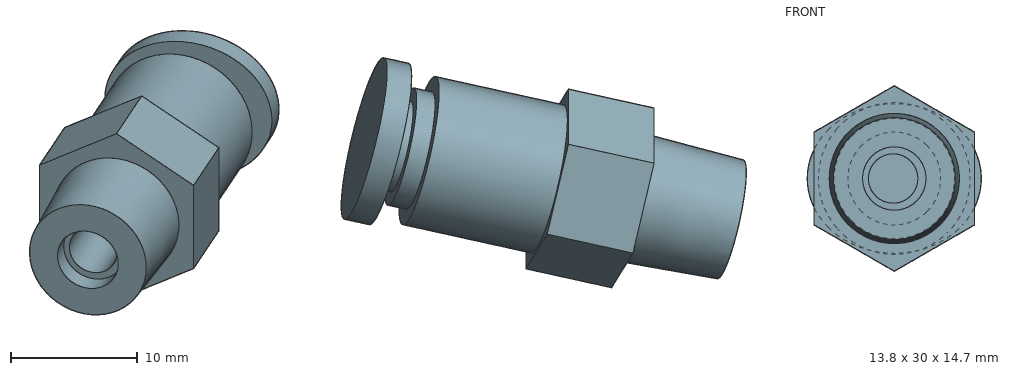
import cadquery as cq

total_length = 30.0
ring_thickness = 2.0
neck_length = 1.0
collar_length = 1.5
body_length = 10.5
hex_length = 7.02
shank_length = 0.18
thread_length = (
    total_length - ring_thickness - neck_length - collar_length - body_length
    - hex_length - shank_length
)

ring_width = 13.77
ring_height = 11.82
neck_diameter = 7.35
collar_diameter = 9.5
body_diameter = 12.0
hex_across_corners = 14.67
thread_root_diameter = 10.3
thread_tip_diameter = 9.63

bore_diameter = 5.0
bore_depth = 1.75
inner_bore_diameter = 3.9
inner_bore_offset = 0.1
inner_bore_depth = 6.0

shank_start = thread_length
hex_start = shank_start + shank_length
body_start = hex_start + hex_length
collar_start = body_start + body_length
neck_start = collar_start + collar_length
ring_start = neck_start + neck_length


def section_at(y):
    """Sketch plane at station y, with its normal toward +Y and its local x along -X."""
    return cq.Workplane("XZ", origin=(0, y, 0)).transformed(rotate=(0, 180, 0))


def cylinder(y, diameter, length):
    return section_at(y).circle(diameter / 2).extrude(length)


def tapered_thread():
    tip = cq.Vector(0, 0, 0)
    toward_hex = cq.Vector(0, 1, 0)
    cone = cq.Solid.makeCone(
        thread_tip_diameter / 2, thread_root_diameter / 2, thread_length, tip, toward_hex
    )
    return cq.Workplane(obj=cone)


def hexagon():
    return (
        section_at(hex_start)
        .transformed(rotate=(0, 0, 90))
        .polygon(6, hex_across_corners)
        .extrude(hex_length)
    )


def release_ring():
    return section_at(ring_start).ellipse(ring_width / 2, ring_height / 2).extrude(ring_thickness)


outside = (
    tapered_thread()
    .union(cylinder(shank_start, thread_root_diameter, shank_length))
    .union(hexagon())
    .union(cylinder(body_start, body_diameter, body_length))
    .union(cylinder(collar_start, collar_diameter, collar_length))
    .union(cylinder(neck_start, neck_diameter, neck_length))
    .union(release_ring())
)

bore = cylinder(0, bore_diameter, bore_depth)
inner_bore = cylinder(bore_depth, inner_bore_diameter, inner_bore_depth).translate(
    (-inner_bore_offset, 0, 0)
)

result = outside.cut(bore).cut(inner_bore).translate((0, -total_length / 2, 0))